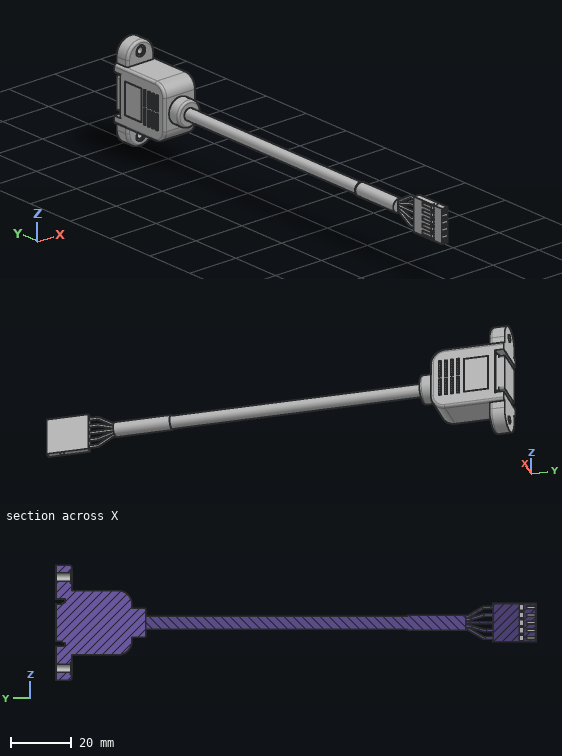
import cadquery as cq

TOTAL_LENGTH = 158.0
TOTAL_HEIGHT = 38.0
TOTAL_WIDTH = 14.7
MOUNT_Y = TOTAL_LENGTH / 2


HOUSING_LENGTH = 25.1
HOUSING_WIDTH = 13.9
HOUSING_HEIGHT = 21.3
REAR_CORNER_RADIUS = 4.7
HOUSING_EDGE_RADIUS = 1.0

EAR_WIDTH = 11.9
EAR_THICKNESS = 5.4
EAR_EDGE_RADIUS = 1.0
EAR_HOLE_SPACING = 30.0
EAR_HOLE_DIAMETER = 2.5
COUNTERBORE_DIAMETER = 4.0
COUNTERBORE_DEPTH = 0.5

SLOT_DEPTH = 3.0
SLOT_OUTER_HEIGHT = 15.5
SOCKET_HEIGHT = 12.3
SOCKET_EDGE_RADIUS = 0.6
SOCKET_LIP = 0.5
SOCKET_LIP_LENGTH = 1.0

PANEL_START = 5.4
PANEL_LENGTH = 8.2
PANEL_HEIGHT = 12.0
PANEL_DEPTH = 0.2
RIB_COUNT = 4
RIB_START = 15.2
RIB_PITCH = 2.0
RIB_WIDTH = 0.8
RIB_SPAN = 12.3
RIB_GAP = 1.0

COLLAR_DIAMETER = 9.8
COLLAR_LENGTH = 4.6
COLLAR_EDGE_RADIUS = 0.8
COLLAR_END = HOUSING_LENGTH + COLLAR_LENGTH

CABLE_DIAMETER = 4.5
SLEEVE_DIAMETER = 5.0
SLEEVE_START = 115.7
SLEEVE_END = 135.0

CONNECTOR_LENGTH = 14.2
CONNECTOR_WIDTH = 2.5
CONNECTOR_HEIGHT = 12.6
CONNECTOR_START = TOTAL_LENGTH - CONNECTOR_LENGTH
PIN_COUNT = 5
PIN_PITCH = CONNECTOR_HEIGHT / PIN_COUNT
PIN_ROWS = [i - (PIN_COUNT - 1) / 2 for i in range(PIN_COUNT)]
PIN_HOLE_SIZE = 0.8
PIN_LEAD_IN = 0.3
PIN_LEAD_IN_ANGLE = 45
PIN_HOLE_DEPTH = 3.2
WINDOW_START = 152.5
WINDOW_LENGTH = 1.5
WINDOW_HEIGHT = 1.9
WINDOW_DEPTH = 1.9
LATCH_START = 148.2
LATCH_HEIGHT = 1.3
LATCH_DEPTH = 0.2

WIRE_DIAMETER = 1.0
WIRE_SLEEVE_PITCH = 1.03
WIRE_SPREAD_START = 135.7
WIRE_SPREAD_END = 140.8
WIRE_BEND_RADIUS = 1.6


def block(start, length, width, height, x=0, z=0):
    """Box centred on (x, z) that begins `start` behind the mounting face."""
    centre_y = MOUNT_Y - start - length / 2
    return cq.Workplane("XY").box(width, length, height).translate((x, centre_y, z))


def rod(start, end, diameter, z=0):
    """Cylinder along Y between two distances behind the mounting face."""
    profile = cq.Workplane("XZ", origin=(0, MOUNT_Y - start, z)).circle(diameter / 2)
    return profile.extrude(end - start)


def make_ears():
    """Round-ended upright plate whose two ends are the ears, each with a counterbored hole."""
    outline = cq.Workplane("XZ", origin=(0, MOUNT_Y, 0)).slot2D(TOTAL_HEIGHT, EAR_WIDTH, 90)
    plate = outline.extrude(EAR_THICKNESS)
    plate = plate.faces("<Y").edges().fillet(EAR_EDGE_RADIUS)
    for z in (-EAR_HOLE_SPACING / 2, EAR_HOLE_SPACING / 2):
        plate = plate.cut(rod(0, EAR_THICKNESS, EAR_HOLE_DIAMETER, z=z))
        plate = plate.cut(rod(EAR_THICKNESS - COUNTERBORE_DEPTH, EAR_THICKNESS, COUNTERBORE_DIAMETER, z=z))
    return plate


def make_shell():
    """Main block with rounded rear corners and softened side edges."""
    shell = block(0, HOUSING_LENGTH, HOUSING_WIDTH, HOUSING_HEIGHT)
    shell = shell.faces("<Y").edges("|X").fillet(REAR_CORNER_RADIUS)
    side_edges = shell.faces("<X or >X").edges("not(>Y)")
    return side_edges.fillet(HOUSING_EDGE_RADIUS)


def make_collar():
    """Strain relief where the cable leaves the housing."""
    collar = rod(HOUSING_LENGTH, COLLAR_END, COLLAR_DIAMETER)
    return collar.faces("<Y").edges().fillet(COLLAR_EDGE_RADIUS)


def make_socket():
    """Socket block with a low lip at its root."""
    socket = block(0, SLOT_DEPTH, EAR_WIDTH, SOCKET_HEIGHT)
    socket = socket.edges("|Y").fillet(SOCKET_EDGE_RADIUS)
    lip_start = SLOT_DEPTH - SOCKET_LIP_LENGTH
    lip = block(lip_start, SOCKET_LIP_LENGTH, EAR_WIDTH, SOCKET_HEIGHT + 2 * SOCKET_LIP)
    return socket.union(lip)


def make_side_panels():
    """Shallow rectangles to cut from both sides of the housing."""
    offset = (HOUSING_WIDTH - PANEL_DEPTH) / 2
    panels = cq.Workplane("XY")
    for x in (-offset, offset):
        panels = panels.union(block(PANEL_START, PANEL_LENGTH, PANEL_DEPTH, PANEL_HEIGHT, x=x))
    return panels


def make_ribs():
    """Grip bars that pass through the housing and stand proud on both sides."""
    length = (RIB_SPAN - RIB_GAP) / 2
    offset = (length + RIB_GAP) / 2
    ribs = cq.Workplane("XY")
    for i in range(RIB_COUNT):
        start = RIB_START + i * RIB_PITCH
        for z in (-offset, offset):
            ribs = ribs.union(block(start, RIB_WIDTH, TOTAL_WIDTH, length, z=z))
    return ribs


def make_housing():
    """Socket housing with its ears, collar, slots, side panels and grip ribs."""
    housing = make_ears().union(make_shell()).union(make_collar())
    housing = housing.cut(block(0, SLOT_DEPTH, TOTAL_WIDTH, SLOT_OUTER_HEIGHT))
    housing = housing.union(make_socket())
    housing = housing.cut(make_side_panels())
    return housing.union(make_ribs())


def make_cable():
    """Cable with a thicker sleeve at the end where the wires come out."""
    cable = rod(COLLAR_END, SLEEVE_START, CABLE_DIAMETER)
    sleeve = rod(SLEEVE_START, SLEEVE_END, SLEEVE_DIAMETER)
    return cable.union(sleeve)


def make_lead_in(z):
    """Square funnel that widens the mouth of a pin hole."""
    mouth_size = PIN_HOLE_SIZE + 2 * PIN_LEAD_IN
    mouth = cq.Workplane("XZ", origin=(0, MOUNT_Y - TOTAL_LENGTH, z)).rect(mouth_size, mouth_size)
    return mouth.extrude(-PIN_LEAD_IN, taper=PIN_LEAD_IN_ANGLE)


def make_connector():
    """Single-row pin connector with a latch groove, a window and a pin hole for each wire."""
    connector = block(CONNECTOR_START, CONNECTOR_LENGTH, CONNECTOR_WIDTH, CONNECTOR_HEIGHT)
    face_x = -CONNECTOR_WIDTH / 2
    for row in PIN_ROWS:
        z = row * PIN_PITCH
        latch_length = WINDOW_START - LATCH_START
        latch = block(LATCH_START, latch_length, LATCH_DEPTH, LATCH_HEIGHT, face_x + LATCH_DEPTH / 2, z)
        window = block(WINDOW_START, WINDOW_LENGTH, WINDOW_DEPTH, WINDOW_HEIGHT, face_x + WINDOW_DEPTH / 2, z)
        pin_hole = block(TOTAL_LENGTH - PIN_HOLE_DEPTH, PIN_HOLE_DEPTH, PIN_HOLE_SIZE, PIN_HOLE_SIZE, z=z)
        connector = connector.cut(latch).cut(window).cut(pin_hole).cut(make_lead_in(z))
    return connector


def make_wire(row):
    """One wire, which fans out from its place in the sleeve to its place in the connector."""
    sleeve_z = row * WIRE_SLEEVE_PITCH
    connector_z = row * PIN_PITCH
    if row == 0:
        return rod(SLEEVE_END, CONNECTOR_START, WIRE_DIAMETER)
    route = [
        (SLEEVE_END, sleeve_z),
        (WIRE_SPREAD_START, sleeve_z),
        (WIRE_SPREAD_END, connector_z),
        (CONNECTOR_START, connector_z),
    ]
    corners = [cq.Vector(0, MOUNT_Y - distance, z) for distance, z in route]
    path = cq.Wire.makePolygon(corners)
    bends = [v for v in path.Vertices() if SLEEVE_END < MOUNT_Y - v.Y < CONNECTOR_START]
    path = path.fillet2D(WIRE_BEND_RADIUS, bends)
    profile = cq.Workplane("XZ", origin=(0, MOUNT_Y - SLEEVE_END, sleeve_z)).circle(WIRE_DIAMETER / 2)
    return profile.sweep(cq.Workplane(path))


housing = make_housing()
cable = make_cable()
connector = make_connector()
wires = [make_wire(row) for row in PIN_ROWS]

result = cq.Compound.makeCompound(
    [housing.val(), cable.val(), connector.val(), *[wire.val() for wire in wires]]
)